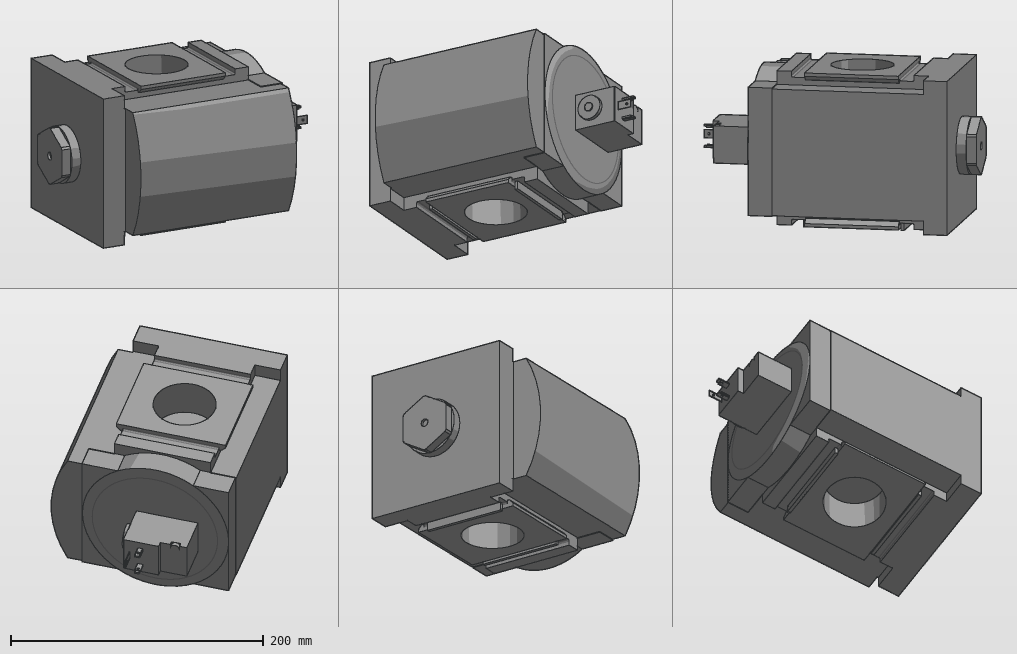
import cadquery as cq
import math


body_width = 122.0
body_height = 124.0
body_length = 141.5
slab_length = 19.0
core_height = 102.0

rib_width = 79.5
groove_center = 80.2
groove_span = 99.0
groove_depth = 4.7
plate_width = 90.4
plate_length = 75.7
plate_thickness = 6.3
plate_chamfer = 3.6
groove_fillet = 1.4
port_diameter = 50.0
port_depth = 30.3

strip_width = 70.0
strip_length = 2.7
strip_overhang = 2.0

cap_diameter = 120.9
cap_height = 103.5
cap_length = 19.2
crown_height = 1.8
crown_edge = 8.5

cover_start = 20.0
cover_end = 160.0
cover_flat = 12.0
cover_reach = 25.8

collar_diameter = 46.0
collar_length = 8.0
hex_sides = 6
hex_turn = 180 / hex_sides
hex_across_flats = 41.3
hex_corner_diameter = 46.5
hex_length = 8.0
vent_diameter = 6.3
vent_depth = 2.3

solenoid_left = -35.7
solenoid_step = -13.8
solenoid_right = 15.4
solenoid_height = 30.0
solenoid_low_end = 193.4
solenoid_high_end = 198.3
solenoid_chamfer = 0.7
notch_x = -25.8
notch_width = 7.5
notch_length = 3.5

knob_y = 177.0
knob_steps = [(10.0, 1.1), (20.0, 3.2), (7.0, 1.1)]

tab_hole = 1.65
signal_tab_x = 1.4
signal_tab_width = 4.7
signal_tab_thickness = 2.0
signal_tab_inner_z = 7.2
signal_tab_end = 206.0
signal_tab_chamfer = 0.7
signal_tip_length = 2.0
signal_hole_y = 204.0
earth_tab_x = 10.2
earth_tab_thickness = 0.7
earth_tab_width = 6.8
earth_tab_end = 210.0
earth_hole_y = 206.2

half_height = body_height / 2
floor_z = half_height - groove_depth
body_right = body_width / 2


def block(x, y, z):
    """Box between the (low, high) limits given for each axis."""
    size = [high - low for low, high in (x, y, z)]
    return cq.Workplane("XY").box(*size, centered=False).translate((x[0], y[0], z[0]))


def centered(length, middle=0):
    """Limits of a given length about a middle."""
    return (middle - length / 2, middle + length / 2)


def rod_y(diameter, start, end):
    """Cylinder along Y between two Y positions."""
    return cq.Workplane("XZ", origin=(0, start, 0)).circle(diameter / 2).extrude(start - end)


def make_rib():
    """Upper rib with a round-bottomed cross groove on either side of the plate."""
    rib = block(centered(rib_width), (0, body_length), (0, half_height))
    width = (groove_span - plate_length) / 2
    for side in (-1, 1):
        middle = groove_center + side * (plate_length + width) / 2
        groove = block(centered(rib_width), centered(width, middle), (floor_z, half_height))
        rib = rib.cut(groove.faces("<Z").edges("|X").fillet(groove_fillet))
    return rib


def make_plate():
    """Upper port plate, bevelled on the undersides of its X edges."""
    z = (half_height - plate_thickness, half_height)
    plate = block(centered(plate_width), centered(plate_length, groove_center), z)
    return plate.faces("<Z").edges("|Y").chamfer(plate_chamfer)


def make_body():
    """Core with its front slab, two ribbed flanges and a blind port in each."""
    core = block(centered(body_width), (0, body_length), centered(core_height))
    slab = block(centered(body_width), (0, slab_length), centered(body_height))
    flange = make_rib().union(make_plate())
    body = core.union(slab).union(flange).union(flange.mirror("XY"))
    for side in (-1, 1):
        bore = cq.Workplane("XY", origin=(0, groove_center, side * half_height))
        body = body.cut(bore.circle(port_diameter / 2).extrude(-side * port_depth))
    return body


def make_strips():
    """Two strips under the lower grooves, one against each end of the plate."""
    strips = cq.Workplane("XY")
    for side in (-1, 1):
        middle = groove_center + side * (plate_length + strip_length) / 2
        z = (-half_height - strip_overhang, -floor_z)
        strips = strips.union(block(centered(strip_width), centered(strip_length, middle), z))
    return strips


def make_cap():
    """Flat-sided rear cap with a round middle and a low crown rounded off at its rim."""
    end = body_length + cap_length
    radius = cap_diameter / 2
    cap = block((-radius, body_right), (body_length, end), centered(cap_height))
    cap = cap.union(rod_y(cap_diameter, body_length, end))
    top = end + crown_height
    flat_radius = radius - crown_edge
    crown = (cq.Workplane("XY").moveTo(0, end).lineTo(0, top).lineTo(flat_radius, top)
             .tangentArcPoint((radius, end), relative=False)
             .close().revolve(360, (0, 0, 0), (0, 1, 0)))
    return cap.union(crown)


def make_cover():
    """Cover with a cylindrical outer face."""
    half = core_height / 2
    shoulder = body_right + cover_flat
    profile = (cq.Workplane("XZ", origin=(0, cover_start, 0))
               .moveTo(body_right, -half).lineTo(shoulder, -half)
               .threePointArc((body_right + cover_reach, 0), (shoulder, half))
               .lineTo(body_right, half).close())
    return profile.extrude(cover_start - cover_end)


def make_plug():
    """Collar and hexagon with rounded corners and a blind vent hole."""
    end = -collar_length - hex_length
    across_corners = hex_across_flats / math.cos(math.pi / hex_sides)
    hexagon = (cq.Workplane("XZ", origin=(0, -collar_length, 0))
               .transformed(rotate=(0, 0, hex_turn))
               .polygon(hex_sides, across_corners).extrude(hex_length))
    hexagon = hexagon.intersect(rod_y(hex_corner_diameter, end, 0))
    plug = rod_y(collar_diameter, -collar_length, 0).union(hexagon)
    return plug.cut(rod_y(vent_diameter, end, end + vent_depth))


def make_solenoid():
    """Stepped solenoid block with a notch that leaves a screw head showing."""
    start = body_length + cap_length
    z = centered(solenoid_height)
    low = block((solenoid_left, solenoid_step), (start, solenoid_low_end), z)
    high = block((solenoid_step, solenoid_right), (start, solenoid_high_end), z)
    high = high.faces(">Y").edges(">X").chamfer(solenoid_chamfer)
    radius = notch_width / 2
    crest = solenoid_height / 2
    notch = block(centered(notch_width, notch_x), (solenoid_low_end - notch_length, solenoid_low_end),
                  (crest - radius, crest))
    screw = rod_y(notch_width, start, solenoid_low_end).translate((notch_x, 0, crest - radius))
    return low.union(high).cut(notch.cut(screw))


def make_knob():
    """Turned override knob on the +X face of the solenoid."""
    knob = cq.Workplane("XY")
    start = solenoid_right
    for diameter, length in knob_steps:
        step = cq.Workplane("YZ", origin=(start, knob_y, 0)).circle(diameter / 2).extrude(length)
        knob = knob.union(step)
        start += length
    return knob


def make_signal_tab():
    """Upper contact tab: bevelled blade, thinner tip and a cross hole."""
    outer_z = signal_tab_inner_z + signal_tab_thickness
    blade = block(centered(signal_tab_width, signal_tab_x), (solenoid_low_end, signal_tab_end),
                  (signal_tab_inner_z, outer_z))
    blade = blade.faces(">Z").edges("|Y").chamfer(signal_tab_chamfer)
    tip = block(centered(signal_tab_width - 2 * signal_tab_chamfer, signal_tab_x),
                (solenoid_low_end, signal_tab_end + signal_tip_length),
                (signal_tab_inner_z + signal_tab_chamfer, outer_z))
    hole = (cq.Workplane("XY").center(signal_tab_x, signal_hole_y)
            .circle(tab_hole / 2).extrude(solenoid_height))
    return blade.union(tip).cut(hole)


def make_earth_tab():
    """Upright middle contact tab with a cross hole."""
    tab = block(centered(earth_tab_thickness, earth_tab_x), (solenoid_low_end, earth_tab_end),
                centered(earth_tab_width))
    hole = (cq.Workplane("YZ").center(earth_hole_y, 0)
            .circle(tab_hole / 2).extrude(solenoid_right))
    return tab.cut(hole)


signal_tab = make_signal_tab()
result = make_body()
for piece in (make_strips(), make_cap(), make_cover(), make_plug(), make_solenoid(), make_knob(),
              signal_tab, signal_tab.mirror("XY"), make_earth_tab()):
    result = result.union(piece)